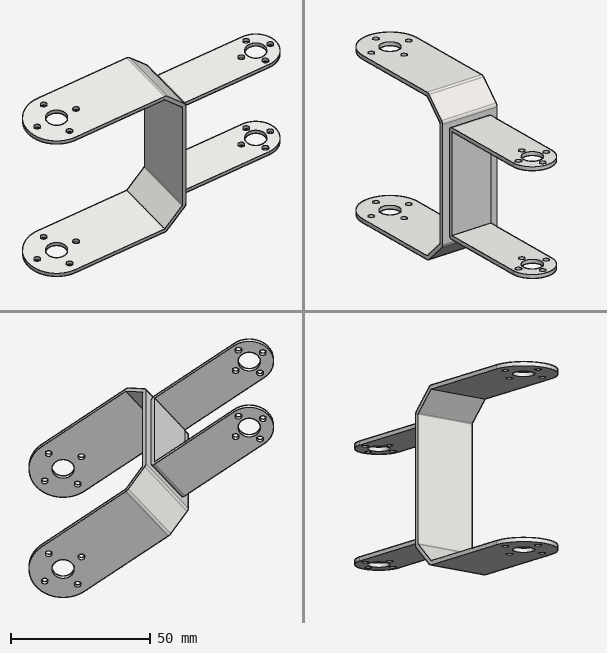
import cadquery as cq
import math

sheet = 1.6

wide_width = 24.61
wide_height = 66.67
wide_reach = 60.0
corner_cut = 8.55
corner_angle = 45
web_bend_radius = 0.3
wide_screw_radius = 8.4
wide_direction = -1

narrow_width = 17.5
narrow_height = 44.5
narrow_reach = 46.76
narrow_offset_x = 0.5
narrow_offset_z = 0.15
narrow_screw_radius = 6.25
narrow_direction = 1

center_hole_diameter = 8.0
screw_hole_diameter = 2.4
screw_count = 4


def profile_solid(points, width, x_center):
    """Extrude a (Y, Z) outline across X, centred on x_center."""
    plane = cq.Workplane("YZ", origin=(x_center, 0, 0))
    return plane.polyline(points).close().extrude(width / 2, both=True)


def round_bends(fork, bends, radius, x_center):
    """Round the bend edges that pass through the given (Y, Z) points."""
    for y, z in bends:
        edge = cq.selectors.NearestToPointSelector((x_center, y, z))
        fork = fork.edges("|X").edges(edge).fillet(radius)
    return fork


def round_arm_ends(fork, width, height, reach, direction, x_center):
    """Trim the fork to a plan shape with a semicircular arm end."""
    end_radius = width / 2
    left = x_center - end_radius
    right = x_center + end_radius
    arc_y = direction * (reach - end_radius)
    plan = (
        cq.Workplane("XY")
        .moveTo(left, 0)
        .lineTo(left, arc_y)
        .threePointArc((x_center, direction * reach), (right, arc_y))
        .lineTo(right, 0)
        .close()
        .extrude(height / 2, both=True)
    )
    return fork.intersect(plan)


def drill_arms(fork, width, height, reach, direction, x_center, screw_radius):
    """Cut the centre hole and the ring of screw holes through both arms."""
    hole_y = direction * (reach - width / 2)
    drill_plane = cq.Workplane("XY", origin=(x_center, hole_y, 0))
    center_drill = drill_plane.circle(center_hole_diameter / 2).extrude(height, both=True)
    screw_drills = (
        drill_plane.polarArray(screw_radius, 0, 360, screw_count)
        .circle(screw_hole_diameter / 2)
        .extrude(height, both=True)
    )
    return fork.cut(center_drill).cut(screw_drills)


def make_wide_fork():
    top = wide_height / 2
    inner_top = top - sheet
    bend_shift = sheet * math.tan(math.radians(corner_angle / 2))
    web_bend = top - corner_cut
    inner_web_bend = web_bend - bend_shift
    inner_arm_bend = corner_cut + bend_shift
    upper_outer = [(0, web_bend), (-corner_cut, top)]
    upper_inner = [(-inner_arm_bend, inner_top), (-sheet, inner_web_bend)]
    upper_half = upper_outer + [(-wide_reach, top), (-wide_reach, inner_top)] + upper_inner
    lower_half = [(y, -z) for y, z in reversed(upper_half)]

    fork = profile_solid(upper_half + lower_half, wide_width, 0)
    fork = round_bends(fork, [(-corner_cut, top), (-corner_cut, -top)], sheet, 0)
    fork = round_bends(fork, [(0, web_bend), (0, -web_bend)], web_bend_radius + sheet, 0)
    fork = round_bends(fork, [(-sheet, inner_web_bend), (-sheet, -inner_web_bend)], web_bend_radius, 0)
    fork = round_arm_ends(fork, wide_width, wide_height, wide_reach, wide_direction, 0)
    return drill_arms(
        fork, wide_width, wide_height, wide_reach, wide_direction, 0, wide_screw_radius
    )


def make_narrow_fork():
    top = narrow_height / 2
    inner_top = top - sheet
    x = narrow_offset_x
    upper_half = [(0, top), (narrow_reach, top), (narrow_reach, inner_top), (sheet, inner_top)]
    lower_half = [(y, -z) for y, z in reversed(upper_half)]

    fork = profile_solid(upper_half + lower_half, narrow_width, x)
    fork = round_bends(fork, [(0, top), (0, -top)], sheet, x)
    fork = round_arm_ends(fork, narrow_width, narrow_height, narrow_reach, narrow_direction, x)
    fork = drill_arms(
        fork, narrow_width, narrow_height, narrow_reach, narrow_direction, x, narrow_screw_radius
    )
    return fork.translate((0, 0, narrow_offset_z))


wide_fork = make_wide_fork()
narrow_fork = make_narrow_fork()

result = cq.Compound.makeCompound([wide_fork.solids().val(), narrow_fork.solids().val()])